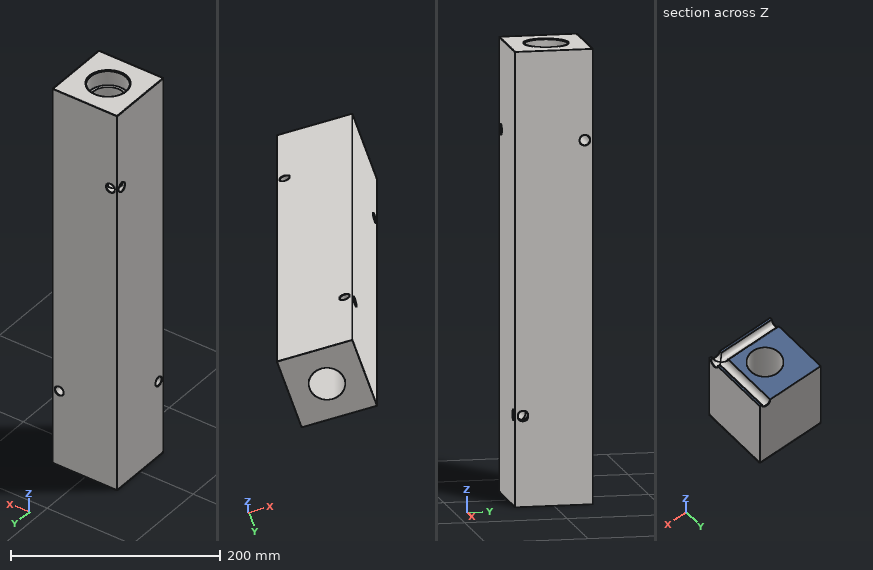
import cadquery as cq

side = 76.2
length = 444.5
edge_chamfer = 0.254

bore_diameter = 34.9
counterbore_diameter = 41.4
counterbore_depth = 17.3
rim_chamfer = 1.0

cross_hole_diameter = 9.8
cross_hole_chamfer = 0.4
chamfer_angle = 45
edge_distance = 7.94
end_distance = 88.9

cross_hole_offset = side / 2 - edge_distance
cross_hole_height = length / 2 - end_distance


def make_bar():
    """Square bar with all its edges broken."""
    return cq.Workplane("XY").box(side, side, length).edges().chamfer(edge_chamfer)


def cut_stepped_bore(bar):
    """Cut the axial through bore, its counterbore and the chamfered top rim."""
    bored = bar.faces(">Z").workplane().cboreHole(bore_diameter, counterbore_diameter, counterbore_depth)
    return bored.faces(">Z").edges("%CIRCLE").chamfer(rim_chamfer)


def cross_hole_cutters(plane, upper_offset):
    """Two through holes along the plane normal, point-symmetric about the bar centre, with chamfered mouths."""
    centres = [(upper_offset, cross_hole_height), (-upper_offset, -cross_hole_height)]
    radius = cross_hole_diameter / 2
    cutters = cq.Workplane(plane).pushPoints(centres).circle(radius).extrude(side / 2, both=True)
    for direction in (1, -1):
        mouths = (
            cq.Workplane(plane)
            .workplane(offset=direction * side / 2)
            .pushPoints(centres)
            .circle(radius + cross_hole_chamfer)
            .extrude(-direction * cross_hole_chamfer, taper=chamfer_angle)
        )
        cutters = cutters.union(mouths)
    return cutters


result = cut_stepped_bore(make_bar())
result = result.cut(cross_hole_cutters("XZ", -cross_hole_offset))
result = result.cut(cross_hole_cutters("YZ", cross_hole_offset))